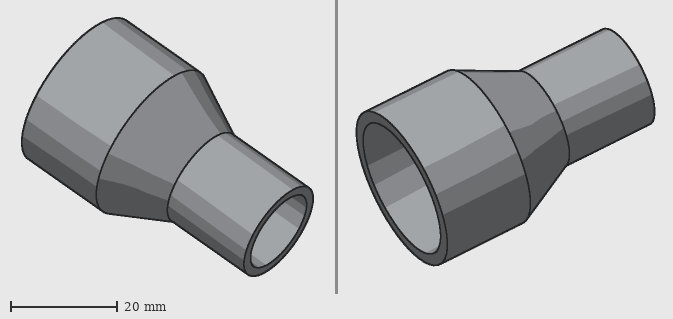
import cadquery as cq

total_length = 50.0
socket_length = 18.5
spigot_length = 19.0
socket_outer_diameter = 32.0
socket_bore_diameter = 27.2
spigot_outer_diameter = 20.0
spigot_bore_diameter = 16.2

spigot_start = total_length - spigot_length


def stepped_cone(wide_diameter, narrow_diameter):
    """Solid of revolution about X that tapers between socket and spigot."""
    wide_radius = wide_diameter / 2
    narrow_radius = narrow_diameter / 2
    return (
        cq.Workplane("XY")
        .moveTo(0, 0)
        .lineTo(0, wide_radius)
        .lineTo(socket_length, wide_radius)
        .lineTo(spigot_start, narrow_radius)
        .lineTo(total_length, narrow_radius)
        .lineTo(total_length, 0)
        .close()
        .revolve(360, (0, 0, 0), (1, 0, 0))
    )


outer_body = stepped_cone(socket_outer_diameter, spigot_outer_diameter)
bore = stepped_cone(socket_bore_diameter, spigot_bore_diameter)

result = outer_body.cut(bore)